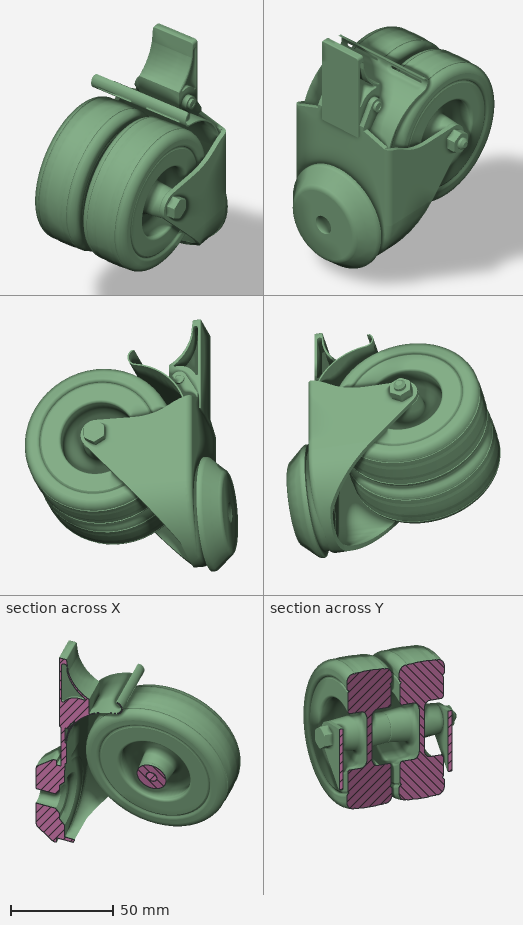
import cadquery as cq
import math


bolt_radius = 3.0

wheel_radius = 37.33
wheel_width = 25.2
wheel_center_x = 14.4
tread_half_band = 3.05
tread_slope_end = 5.1
tread_step = 0.25
groove_start = 7.9
groove_width = 0.8
groove_depth = 0.35
shoulder_offset = 9.9
shoulder_mid_offset = 11.8
shoulder_mid_radius = 35.3
sidewall_radius = 33.2
rim_groove_outer = 30.9
rim_groove_inner = 29.0
rim_groove_depth = 1.2
rim_lip_mid_inset = 0.35
rim_lip_mid_radius = 29.6
disc_inset = 0.6
disc_edge_radius = 28.0
dish_outer_radius = 19.8
dish_round = 1.2
dish_floor_outer = 15.7
dish_floor_inner = 11.5
dish_floor_round = 2.9
dish_floor_offset = 1.5
hub_radius = 7.6
hub_end_chamfer = 0.3

fork_half_width = 31.1
sheet = 2.4
fork_inner_half_width = fork_half_width - sheet
fork_back_y = 47.6
fork_inside_y = fork_back_y - sheet
fork_round_z = -28.0
fork_bottom_z = fork_round_z - fork_half_width
fork_top_z = 17.3
fork_bend_radius = 3.0
plate_peak_z = 21.8
fork_nose_radius = 7.5
fork_nose_mid_angle = 155
cheek_flat_end_y = 19.3
cheek_inflection = (36.5, 12.6)
cheek_foot = (39.2, -54.2)
cheek_foot_end_y = 41.1

swivel_z = -34.12
swivel_rim_radius = 28.05
swivel_cone_base_radius = 27.5
swivel_cone_top_radius = 21.4
swivel_top_radius = 18.9
swivel_neck_radius = swivel_z - fork_bottom_z
swivel_rim_y = 49.65
swivel_rim_top_y = 50.45
swivel_brow = (27.93, 51.5)
swivel_cone_base_y = 52.3
swivel_cone_top_y = 59.2
swivel_top_y = 60.66
swivel_crown = (20.4, 60.2)
seat_radius = 22.75
seat_depth = 0.3
stem_hole_radius = 5.0
stem_countersink_radius = 7.8
stem_countersink_depth = 2.0
stem_dish_outer = 14.8
stem_dish_inner = 11.4
stem_dish_depth = 3.0

strip = 0.7
strip_half_width = 28.05
strip_bottom_z = -7.0
strip_arc_center = (14.9, 6.6)
strip_arc_radius = fork_inside_y - strip_arc_center[0] - strip / 2
strip_curl_radius = 4.0
strip_lead_angle = 82.1
strip_curl_sweep = 155.0
strip_corner_radius = 1.5
strip_slot_length = 20.3
strip_slot_height = 1.7
strip_slot_x = 14.4
strip_slot_z = 39.0

brake_shift_x = 0.2
pedal_half_width = 12.0
pedal_back_y = 48.5
pedal_top_z = 63.9
pedal_bottom_z = 17.0
pedal_corner_radius = 1.4
pedal_edge_round = 0.5
pocket_web = 2.0
pocket_back_wall = 1.4

pivot = (38.3, 32.0)
lug_radius = 3.9
lug_thickness = 2.7
lug_inner_x = 12.2
lug_outer_x = lug_inner_x + lug_thickness
lug_root_z = 15.0
lug_root_y = 47.0
lug_shoulder_z = 24.0
pin_radius = 2.0
pin_head_radius = 2.65
pin_head_end_x = 16.4
pin_dimple_radius = 1.6
pin_dimple_depth = 0.4

hex_flats = 10.0
nut_end_x = -36.1
head_end_x = 35.6
hex_chamfer = 0.4
bolt_cone_start_x = -37.6
bolt_tip_x = -38.9
bolt_tip_radius = 1.6


def polar(center, radius, angle):
    """Point at a distance and an angle (degrees) from a centre."""
    turn = math.radians(angle)
    return (center[0] + radius * math.cos(turn), center[1] + radius * math.sin(turn))


def tangent_point(point, center, radius, side):
    """Where the line from a point touches a circle; side is +1 or -1."""
    dy = point[0] - center[0]
    dz = point[1] - center[1]
    spread = math.degrees(math.acos(radius / math.hypot(dy, dz)))
    return polar(center, radius, math.degrees(math.atan2(dz, dy)) + side * spread)


def slab(outline, half_width):
    """Extrude a closed YZ outline evenly to both sides of the X mid plane."""
    return outline.extrude(half_width, both=True)


def axle_cylinder(radius, start_x, end_x, center=(0, 0)):
    """Cylinder along X between two X positions."""
    return cq.Workplane("YZ", origin=(start_x, 0, 0)).center(*center).circle(radius).extrude(end_x - start_x)


def make_wheel_half(hub_length, side):
    """Half a wheel, turned about X, from its mid plane to the given side (+1 or -1)."""
    half_width = wheel_width / 2
    disc = half_width - disc_inset
    tread_radius = wheel_radius - tread_step
    groove_radius = tread_radius - groove_depth
    groove_end = groove_start + groove_width
    wall_start = dish_floor_offset + dish_floor_round

    def at(offset, radius):
        return (side * offset, radius)

    profile = (
        cq.Workplane("XY")
        .moveTo(0, bolt_radius)
        .lineTo(*at(hub_length, bolt_radius))
        .lineTo(*at(hub_length, hub_radius - hub_end_chamfer))
        .lineTo(*at(hub_length - hub_end_chamfer, hub_radius))
        .lineTo(*at(wall_start, dish_floor_inner - dish_floor_round))
        .radiusArc(at(dish_floor_offset, dish_floor_inner), side * dish_floor_round)
        .lineTo(*at(dish_floor_offset, dish_floor_outer))
        .radiusArc(at(wall_start, dish_floor_outer + dish_floor_round), side * dish_floor_round)
        .lineTo(*at(disc - dish_round, dish_outer_radius - dish_round))
        .radiusArc(at(disc, dish_outer_radius), -side * dish_round)
        .lineTo(*at(disc, disc_edge_radius))
        .lineTo(*at(half_width - rim_groove_depth, rim_groove_inner))
        .threePointArc(
            at(half_width - rim_lip_mid_inset, rim_lip_mid_radius), at(half_width, rim_groove_outer)
        )
        .lineTo(*at(half_width, sidewall_radius))
        .threePointArc(at(shoulder_mid_offset, shoulder_mid_radius), at(shoulder_offset, groove_radius))
        .lineTo(*at(groove_end, tread_radius))
        .lineTo(*at(groove_end, groove_radius))
        .lineTo(*at(groove_start, groove_radius))
        .lineTo(*at(groove_start, tread_radius))
        .lineTo(0, tread_radius)
        .close()
    )
    return profile.revolve(360, (0, 0, 0), (1, 0, 0))


def make_tread_band():
    """Raised band around the middle of the tread, sloping down on both sides."""
    root_radius = wheel_radius - tread_step - groove_depth
    profile = (
        cq.Workplane("XY")
        .polyline([
            (-tread_slope_end, root_radius),
            (-tread_slope_end, wheel_radius - tread_step),
            (-tread_half_band, wheel_radius),
            (tread_half_band, wheel_radius),
            (tread_slope_end, wheel_radius - tread_step),
            (tread_slope_end, root_radius),
        ])
        .close()
    )
    return profile.revolve(360, (0, 0, 0), (1, 0, 0))


def make_wheel(center_x):
    """Both halves are alike but for the hub, which reaches the cheek outside and the other wheel inside."""
    outward = math.copysign(1, center_x)
    outer_half = make_wheel_half(fork_inner_half_width - wheel_center_x, outward)
    inner_half = make_wheel_half(wheel_center_x, -outward)
    return outer_half.union(inner_half).union(make_tread_band()).translate((center_x, 0, 0))


def u_block(half_width, top_z, start_y, end_y):
    """Block with straight sides and a round lower end, running along Y."""
    return (
        cq.Workplane("XZ", origin=(0, start_y, 0))
        .moveTo(-half_width, top_z)
        .lineTo(-half_width, fork_round_z)
        .threePointArc((0, fork_round_z - half_width), (half_width, fork_round_z))
        .lineTo(half_width, top_z)
        .close()
        .extrude(start_y - end_y)
    )


def make_fork():
    """Bent sheet: a back plate and a wall around it that forms the two cheeks."""
    nose_y = -fork_nose_radius
    above_top = fork_top_z + sheet
    shell = u_block(fork_half_width, above_top, fork_back_y, nose_y)
    shell = shell.faces(">Y").edges("not >Z").fillet(fork_bend_radius)
    cavity = u_block(fork_inner_half_width, above_top, fork_inside_y, nose_y)
    cavity = cavity.faces(">Y").edges("not >Z").fillet(fork_bend_radius - sheet)
    nose_touch = tangent_point(cheek_foot, (0, 0), fork_nose_radius, -1)
    side_outline = (
        cq.Workplane("YZ")
        .moveTo(fork_back_y, fork_top_z)
        .lineTo(fork_back_y, fork_bottom_z)
        .lineTo(cheek_foot_end_y, fork_bottom_z)
        .lineTo(*cheek_foot)
        .lineTo(*nose_touch)
        .threePointArc(polar((0, 0), fork_nose_radius, fork_nose_mid_angle), (0, fork_nose_radius))
        .lineTo(cheek_flat_end_y, fork_nose_radius)
        .tangentArcPoint(cheek_inflection, relative=False)
        .tangentArcPoint((fork_back_y, fork_top_z), relative=False)
        .close()
    )
    return shell.cut(cavity).intersect(slab(side_outline, fork_half_width))


def make_plate_peak():
    """Upper part of the back plate, sloping up to the pedal ears."""
    foot_x = fork_half_width - fork_bend_radius
    foot_z = fork_top_z - sheet
    return (
        cq.Workplane("XZ", origin=(0, fork_back_y, 0))
        .polyline([
            (-foot_x, foot_z),
            (-foot_x, fork_top_z),
            (-lug_outer_x, plate_peak_z),
            (lug_outer_x, plate_peak_z),
            (foot_x, fork_top_z),
            (foot_x, foot_z),
        ])
        .close()
        .extrude(sheet)
    )


def make_swivel_head():
    """Turned cap on the back plate, with its neck reaching through the plate."""
    profile = (
        cq.Workplane("XY")
        .moveTo(0, fork_inside_y)
        .lineTo(swivel_neck_radius, fork_inside_y)
        .lineTo(swivel_neck_radius, swivel_rim_y)
        .lineTo(swivel_rim_radius, swivel_rim_y)
        .lineTo(swivel_rim_radius, swivel_rim_top_y)
        .threePointArc(swivel_brow, (swivel_cone_base_radius, swivel_cone_base_y))
        .lineTo(swivel_cone_top_radius, swivel_cone_top_y)
        .threePointArc(swivel_crown, (swivel_top_radius, swivel_top_y))
        .lineTo(0, swivel_top_y)
        .close()
    )
    return profile.revolve(360, (0, 0, 0), (0, 1, 0)).translate((0, 0, swivel_z))


def make_stem_opening():
    """Shallow seat and dish in the back plate around a countersunk through hole."""
    seat_y = fork_inside_y + seat_depth
    dish_floor_y = fork_inside_y + stem_dish_depth
    profile = (
        cq.Workplane("XY")
        .moveTo(0, fork_inside_y)
        .lineTo(seat_radius, fork_inside_y)
        .lineTo(seat_radius, seat_y)
        .lineTo(stem_dish_outer, seat_y)
        .lineTo(stem_dish_inner, dish_floor_y)
        .lineTo(stem_countersink_radius, dish_floor_y)
        .lineTo(stem_hole_radius, dish_floor_y + stem_countersink_depth)
        .lineTo(stem_hole_radius, swivel_top_y)
        .lineTo(0, swivel_top_y)
        .close()
    )
    return profile.revolve(360, (0, 0, 0), (0, 1, 0)).translate((0, 0, swivel_z))


def make_spring_strip():
    """Flat strip on the back plate, bent over the wheels and curled up at its end."""
    half = strip / 2
    outer = strip_arc_radius + half
    inner = strip_arc_radius - half
    lead = strip_lead_angle
    curl_center = polar(strip_arc_center, strip_arc_radius + strip_curl_radius, lead)
    curl_start = lead + 180
    curl_mid = curl_start - strip_curl_sweep / 2
    curl_end = curl_start - strip_curl_sweep
    curl_in = strip_curl_radius - half
    curl_out = strip_curl_radius + half
    outline = (
        cq.Workplane("YZ")
        .moveTo(fork_inside_y, strip_bottom_z)
        .lineTo(*polar(strip_arc_center, outer, 0))
        .threePointArc(polar(strip_arc_center, outer, lead / 2), polar(strip_arc_center, outer, lead))
        .threePointArc(polar(curl_center, curl_in, curl_mid), polar(curl_center, curl_in, curl_end))
        .lineTo(*polar(curl_center, curl_out, curl_end))
        .threePointArc(polar(curl_center, curl_out, curl_mid), polar(curl_center, curl_out, curl_start))
        .threePointArc(polar(strip_arc_center, inner, lead / 2), polar(strip_arc_center, inner, 0))
        .lineTo(fork_inside_y - strip, strip_bottom_z)
        .close()
    )
    body = slab(outline, strip_half_width)
    tip_z = body.val().BoundingBox().zmax
    front_mask = (
        cq.Workplane("XZ")
        .rect(2 * strip_half_width, 2 * tip_z)
        .extrude(-fork_back_y)
        .edges("|Y and >Z")
        .fillet(strip_corner_radius)
    )
    slots = (
        cq.Workplane("XZ")
        .pushPoints([(-strip_slot_x, strip_slot_z), (strip_slot_x, strip_slot_z)])
        .slot2D(strip_slot_length, strip_slot_height)
        .extrude(-curl_center[0])
    )
    return body.intersect(front_mask).cut(slots)


def make_pedal():
    """Foot lever with a hollowed front, rounded top corners and pockets in both flanks."""
    front_top_y = 44.5
    hollow_top = (43.5, 55.5)
    hollow_mid = (39.5, 47.1)
    toe_y = 32.6
    toe_top_z = 41.0
    toe_bottom_z = 31.1
    heel_start = (33.3, 30.8)
    heel_end = (42.4, 21.0)
    heel_bottom_y = 43.7
    outline = (
        cq.Workplane("YZ")
        .moveTo(pedal_back_y, pedal_bottom_z)
        .lineTo(pedal_back_y, pedal_top_z)
        .lineTo(front_top_y, pedal_top_z)
        .lineTo(*hollow_top)
        .threePointArc(hollow_mid, (toe_y, toe_top_z))
        .lineTo(toe_y, toe_bottom_z)
        .lineTo(*heel_start)
        .lineTo(*heel_end)
        .lineTo(heel_bottom_y, pedal_bottom_z)
        .close()
    )
    pedal = slab(outline, pedal_half_width)
    pedal = pedal.edges("|Y and >Z").fillet(pedal_corner_radius)
    front_edges = cq.selectors.BoxSelector(
        (-fork_half_width, toe_y, toe_top_z + 1), (fork_half_width, front_top_y + 1, pedal_top_z + 1)
    )
    pedal = pedal.edges(front_edges).fillet(pedal_edge_round)
    pedal = pedal.faces(">Y").edges("not <Z").fillet(pedal_edge_round)

    pocket_back_y = pedal_back_y - pocket_back_wall
    pocket_front_y = 44.6
    pocket_shoulder_z = 59.0
    pocket_bottom_z = 34.6
    pocket_round = (pocket_back_y - pocket_front_y) / 2
    pocket_crown = (pocket_back_y - pocket_round, pocket_shoulder_z + pocket_round)
    pocket = (
        cq.Workplane("YZ", origin=(pocket_web / 2, 0, 0))
        .moveTo(pocket_back_y, pocket_shoulder_z)
        .threePointArc(pocket_crown, (pocket_front_y, pocket_shoulder_z))
        .lineTo(44.4, 55.5)
        .threePointArc((40.8, 46.6), (34.9, 40.4))
        .lineTo(35.2, 39.9)
        .lineTo(38.3, 39.9)
        .threePointArc((42.9, 38.3), (46.0, pocket_bottom_z))
        .lineTo(pocket_back_y, pocket_bottom_z)
        .close()
        .extrude(pedal_half_width)
    )
    pedal = pedal.cut(pocket).cut(pocket.mirror("YZ"))
    return pedal.translate((brake_shift_x, 0, 0))


def make_lug(inner_x):
    """Ear that rises from the back plate and tapers to the pedal pivot."""
    shoulder = (fork_back_y, lug_shoulder_z)
    root = (lug_root_y, lug_root_z)
    web = (
        cq.Workplane("YZ", origin=(inner_x, 0, 0))
        .polyline([
            (fork_back_y, lug_root_z),
            shoulder,
            tangent_point(shoulder, pivot, lug_radius, 1),
            tangent_point(root, pivot, lug_radius, -1),
            root,
        ])
        .close()
        .extrude(lug_thickness)
    )
    return web.union(axle_cylinder(lug_radius, inner_x, inner_x + lug_thickness, pivot))


def make_pivot_pin():
    """Rivet through both ears and the pedal, dimpled at each end."""
    pin = axle_cylinder(pin_radius, -pin_head_end_x, pin_head_end_x, pivot)
    for end_x, step in ((-pin_head_end_x, 1), (pin_head_end_x, -1)):
        pin = pin.union(axle_cylinder(pin_head_radius, end_x, step * -lug_outer_x, pivot))
        pin = pin.cut(axle_cylinder(pin_dimple_radius, end_x, end_x + step * pin_dimple_depth, pivot))
    return pin


def make_hex(start_x, end_x):
    """Hexagon with a corner up, chamfered at its outer end."""
    corner_radius = hex_flats / math.sqrt(3)
    prism = (
        cq.Workplane("YZ", origin=(start_x, 0, 0))
        .transformed(rotate=(0, 0, 90))
        .polygon(6, 2 * corner_radius)
        .extrude(end_x - start_x)
    )
    outer_face = ">X" if end_x > start_x else "<X"
    envelope = axle_cylinder(corner_radius, start_x, end_x).faces(outer_face).chamfer(hex_chamfer)
    return prism.intersect(envelope)


def make_bolt():
    """Shank with a tapered tip, a nut on the -X cheek and a head on the +X cheek."""
    shank = axle_cylinder(bolt_radius, bolt_tip_x, fork_half_width)
    tip_chamfer = (bolt_cone_start_x - bolt_tip_x, bolt_radius - bolt_tip_radius)
    shank = shank.faces("<X").chamfer(*tip_chamfer)
    nut = make_hex(-fork_half_width, nut_end_x)
    head = make_hex(fork_half_width, head_end_x)
    return shank.union(nut).union(head)


housing = (
    make_fork()
    .union(make_plate_peak())
    .union(make_swivel_head())
    .cut(make_stem_opening())
    .union(make_spring_strip())
    .union(make_pedal())
    .union(make_lug(lug_inner_x + brake_shift_x))
    .union(make_lug(-lug_outer_x + brake_shift_x))
    .union(make_pivot_pin())
    .union(make_bolt())
)
wheels = [make_wheel(side * wheel_center_x) for side in (-1, 1)]

result = cq.Compound.makeCompound([housing.val(), *[wheel.val() for wheel in wheels]])